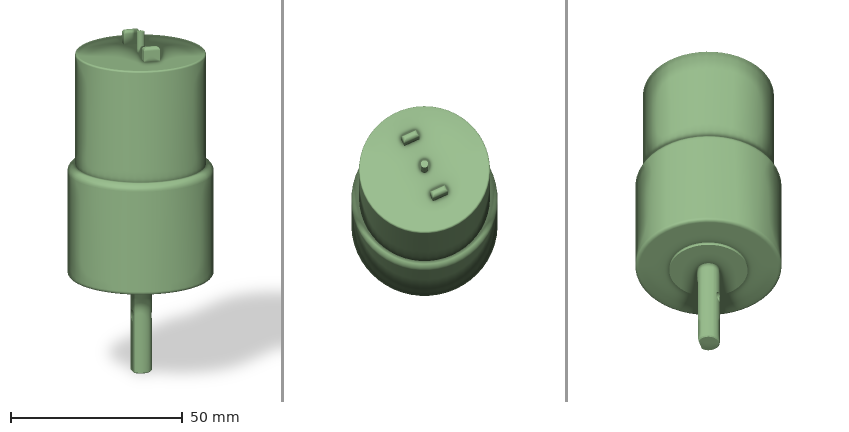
import cadquery as cq

total_height = 103.1
hole_z = 17.0
flat_top_z = 24.8
boss_bottom_z = 28.2
gearbox_bottom_z = 29.2
gearbox_top_z = 62.9
motor_top_z = 96.6
terminal_top_z = 100.9

gearbox_diameter = 42.6
motor_diameter = 38.1
boss_diameter = 22.8
shoulder_radius = 2.2
gearbox_bottom_radius = 1.0
motor_rim_radius = 0.5

shaft_diameter = 6.6
shaft_end_chamfer = 0.3
flat_offset = 2.5
cross_hole_diameter = 3.3

rear_pin_diameter = 2.2
terminal_width = 2.2
terminal_length = 4.8
terminal_edge_radius = 1.0
terminal_centers = [(-9.9, 0.0), (8.7, 0.6)]


def cylinder(diameter, bottom_z, top_z):
    """Upright cylinder on the main axis between two heights."""
    return cq.Workplane("XY").workplane(offset=bottom_z).circle(diameter / 2).extrude(top_z - bottom_z)


def output_shaft():
    """D-shaped shaft with its flat facing -Y and a hole across the flat."""
    shaft = cylinder(shaft_diameter, 0, gearbox_bottom_z).faces("<Z").chamfer(shaft_end_chamfer)
    flat_cutter = cq.Workplane("XY").box(
        shaft_diameter, shaft_diameter, flat_top_z, centered=(True, True, False)
    ).translate((0, -flat_offset - shaft_diameter / 2, 0))
    cross_hole = (
        cq.Workplane("XZ")
        .center(0, hole_z)
        .circle(cross_hole_diameter / 2)
        .extrude(shaft_diameter, both=True)
    )
    return shaft.cut(flat_cutter).cut(cross_hole)


def terminal(x, y):
    """Rectangular contact blade with rounded top edges."""
    return (
        cq.Workplane("XY")
        .box(terminal_width, terminal_length, terminal_top_z - motor_top_z, centered=(True, True, False))
        .faces(">Z")
        .edges()
        .fillet(terminal_edge_radius)
        .translate((x, y, motor_top_z))
    )


gearbox = (
    cylinder(gearbox_diameter, gearbox_bottom_z, gearbox_top_z)
    .faces(">Z")
    .edges()
    .fillet(shoulder_radius)
    .faces("<Z")
    .edges()
    .fillet(gearbox_bottom_radius)
)
motor = cylinder(motor_diameter, gearbox_top_z, motor_top_z).faces(">Z").edges().fillet(motor_rim_radius)
boss = cylinder(boss_diameter, boss_bottom_z, gearbox_bottom_z)
rear_pin = cylinder(rear_pin_diameter, motor_top_z, total_height)

result = gearbox.union(motor).union(boss).union(output_shaft()).union(rear_pin)
for center_x, center_y in terminal_centers:
    result = result.union(terminal(center_x, center_y))